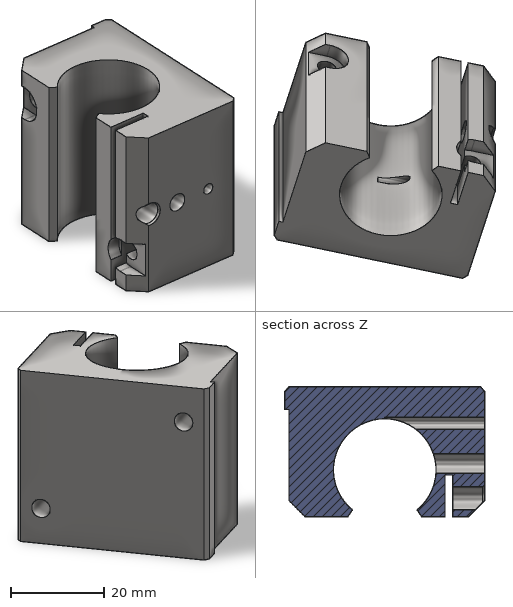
import cadquery as cq
import math

width = 43.0
depth = 28.0
height = 39.0
mid_x = width / 2
mid_z = height / 2
ledge_step = 0.9
ledge_length = 4.95
front_chamfer = 3.5
rear_chamfer_x = 0.9
rear_chamfer_y = 1.05

bore_radius = 11.0
bore_y = 10.05
throat_width = 13.85
mouth_width = 15.85

slot_left = 34.5
slot_width = 1.6
slot_right = slot_left + slot_width
slot_depth = 9.0

bolt_diameter = 4.13
bolt_offset_x = 16.05
bolt_edge_z = 8.0
pocket_diameter = 8.0
pocket_depth = 3.0

screw_diameter = 4.9
screw_entry_diameter = 5.45
screw_entry_depth = 0.5
screw_y = 4.0

oil_diameter = 2.5
oil_y = 20.12

set_screw_diameter = 4.13
set_screw_y = 11.5


def make_body():
    return (
        cq.Workplane("XY")
        .moveTo(ledge_step + front_chamfer, 0)
        .lineTo(width - front_chamfer, 0)
        .lineTo(width, front_chamfer)
        .lineTo(width, depth - rear_chamfer_y)
        .lineTo(width - rear_chamfer_x, depth)
        .lineTo(rear_chamfer_x, depth)
        .lineTo(0, depth - rear_chamfer_y)
        .lineTo(0, depth - ledge_length)
        .lineTo(ledge_step, depth - ledge_length)
        .lineTo(ledge_step, front_chamfer)
        .close()
        .extrude(height)
    )


def make_bore():
    """Round bore joined to a mouth that flares towards the front face."""
    half_throat = throat_width / 2
    half_mouth = mouth_width / 2
    throat_y = bore_y - math.sqrt(bore_radius**2 - half_throat**2)
    return (
        cq.Workplane("XY")
        .moveTo(mid_x - half_mouth, 0)
        .lineTo(mid_x - half_throat, throat_y)
        .threePointArc((mid_x, bore_y + bore_radius), (mid_x + half_throat, throat_y))
        .lineTo(mid_x + half_mouth, 0)
        .close()
        .extrude(height)
    )


def make_slot():
    return cq.Workplane("XY").box(slot_width, slot_depth, height, centered=False).translate((slot_left, 0, 0))


def cylinder_along_y(x, z, diameter, length):
    return cq.Workplane("XZ", origin=(x, 0, z)).circle(diameter / 2).extrude(-length)


def make_bolt_cut(side, z):
    """Through hole and round-ended pocket open towards the side (-1 left, +1 right)."""
    x = mid_x + side * bolt_offset_x
    hole = cylinder_along_y(x, z, bolt_diameter, depth)
    round_end = cylinder_along_y(x, z, pocket_diameter, pocket_depth)
    run_out = (
        cq.Workplane("XY")
        .box(mid_x - bolt_offset_x, pocket_depth, pocket_diameter)
        .translate((mid_x + side * (mid_x + bolt_offset_x) / 2, pocket_depth / 2, z))
    )
    return hole.union(round_end).union(run_out)


def cylinder_from_right(y, diameter, end_x):
    return cq.Workplane("YZ", origin=(end_x, y, mid_z)).circle(diameter / 2).extrude(width - end_x)


def make_screw_hole():
    hole = cylinder_from_right(screw_y, screw_diameter, slot_right)
    entry = (
        cq.Workplane("YZ", origin=(width - screw_entry_depth, screw_y, mid_z))
        .circle(screw_diameter / 2)
        .workplane(offset=screw_entry_depth)
        .circle(screw_entry_diameter / 2)
        .loft()
    )
    return hole.union(entry)


result = (
    make_body()
    .cut(make_bore())
    .cut(make_slot())
    .cut(make_bolt_cut(-1, height - bolt_edge_z))
    .cut(make_bolt_cut(1, bolt_edge_z))
    .cut(make_screw_hole())
    .cut(cylinder_from_right(set_screw_y, set_screw_diameter, mid_x))
    .cut(cylinder_from_right(oil_y, oil_diameter, mid_x))
)